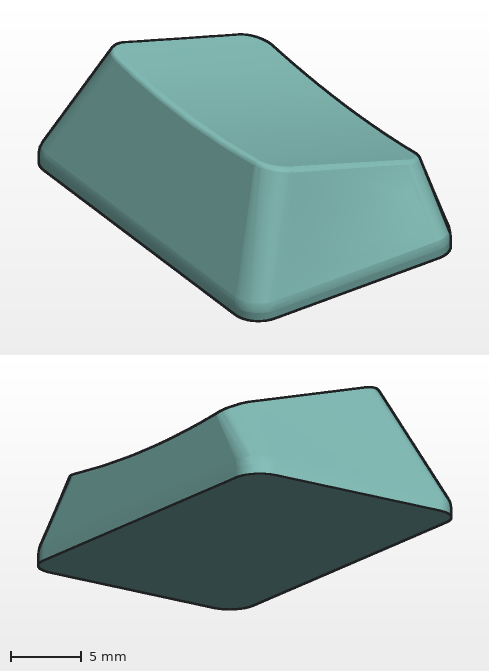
import cadquery as cq
import math

length = 27.7
width = 18.16
corner_radius = 2.0

skirt_height = 0.66
wall_start = 1.33
side_inset = 0.15
front_inset = 0.152
back_inset = 0.03

top_half_length = 10.47
top_front_y = -4.95
top_back_y = 8.6
top_front_z = 9.95
top_back_z = 5.95

dish_depth = 0.66
rim_radius = 0.42

top_run = top_back_y - top_front_y
top_drop = top_front_z - top_back_z
top_width = math.hypot(top_run, top_drop)
tilt = math.atan2(top_drop, top_run)

top_plane = cq.Plane(
    origin=(0, (top_front_y + top_back_y) / 2, (top_front_z + top_back_z) / 2),
    xDir=(1, 0, 0),
    normal=(0, math.sin(tilt), math.cos(tilt)),
)


def rounded_outline(plane, x_size, y_size):
    """Wire of a rounded rectangle centred on the given plane."""
    sketch = cq.Sketch().rect(x_size, y_size).vertices().fillet(corner_radius)
    return sketch.reset().faces().val().outerWire().moved(plane.location)


def blend_outline(height, lean):
    """Level outline in which lean runs from 0 (base outline) to 1 (start of the walls)."""
    shift = lean * (front_inset - back_inset) / 2
    return rounded_outline(
        cq.Plane(origin=(0, shift, height)),
        length - 2 * lean * side_inset,
        width - lean * (front_inset + back_inset),
    )


def make_body():
    """Vertical skirt, curved blend and walls tapering to the tilted top face."""
    base = blend_outline(0, 0)
    skirt_top = blend_outline(skirt_height, 0)
    blend_middle = blend_outline((skirt_height + wall_start) / 2, 0.25)
    wall_bottom = blend_outline(wall_start, 1)
    wall_top = rounded_outline(top_plane, 2 * top_half_length, top_width)

    skirt = cq.Solid.makeLoft([base, skirt_top], True)
    blend = cq.Solid.makeLoft([skirt_top, blend_middle, wall_bottom])
    walls = cq.Solid.makeLoft([wall_bottom, wall_top], True)
    return cq.Workplane(skirt).union(cq.Workplane(blend)).union(cq.Workplane(walls))


def make_dish():
    """Cylinder lying along the slope that meets the side edges of the top face."""
    radius = (top_half_length**2 + dish_depth**2) / (2 * dish_depth)
    dish_plane = cq.Plane(
        origin=top_plane.toWorldCoords((0, 0, radius - dish_depth)).toTuple(),
        xDir=(1, 0, 0),
        normal=top_plane.yDir.toTuple(),
    )
    return cq.Workplane(dish_plane).circle(radius).extrude(width, both=True)


def round_rim(body):
    """Round the edges around the scooped face."""
    dish_bottom = top_plane.toWorldCoords((0, 0, -dish_depth)).toTuple()
    scooped_face = body.faces(cq.selectors.NearestToPointSelector(dish_bottom))
    return scooped_face.edges().fillet(rim_radius)


result = round_rim(make_body().cut(make_dish()))